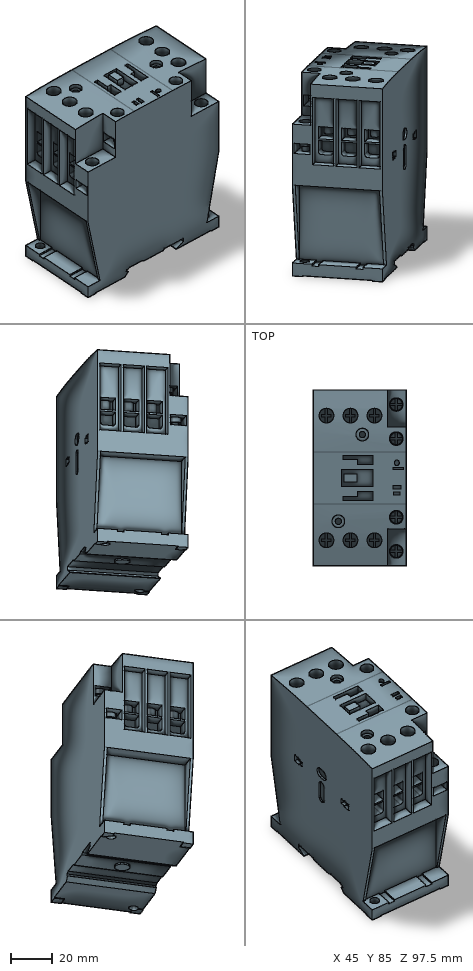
import cadquery as cq
import math


width = 45.0
depth = 85.0
height = 97.5
top_band_y = 12.5
top_crown = 1.1
taper_top_z = 45.4
taper_inset = 7.7
foot_height = 6.5
left = -width / 2
front = -depth / 2

panel_width = 42.1
panel_depth = 8.3

pad_size = 5.1
pad_height = 0.4
rail_depth = 4.7
rail_outline = [
    (-18.9, 0), (-16.4, 2.6), (-17.55, 3.2), (-17.2, 4.0), (-15.3, rail_depth),
    (19.5, rail_depth), (19.5, 2.9), (14.8, 0.7), (14.8, 0),
]
foot_groove_x = 11.0
foot_groove_width = 3.4
foot_groove_depth = 0.9
foot_hole_diameter = 4.6
foot_hole_inset = 5.0
bridge_drop = 0.8
bridge_half_width = 6.8
bridge_slope = 0.5
button_diameter = 7.5
button_z = 3.1

terminal_pitch = 11.6
terminal_middle_x = -4.5
terminal_screw_y = 30.1
terminal_xs = [terminal_middle_x + step * terminal_pitch for step in (-1, 0, 1)]
pocket_width = 10.5
pocket_bottom_z = 56.3
pocket_top_z = 89.8
pocket_depth = 5.1
wire_width = 7.5
upper_wire_z = (68.1, 74.1)
lower_wire_z = (60.3, 67.2)
lower_wire_radius = 1.6
wire_end_gap = 0.6
terminal_well_diameter = 7.1
terminal_well_floor_z = 78.0
terminal_stem_diameter = 5.4
terminal_stem_bottom_z = 69.4
slot_width = 1.2
slot_depth = 1.0
terminal_short_slot = 4.6

corner_x = 13.4
corner_y = 24.7
shelf_z = 75.9
aux_x = 17.6
aux_wire_width = 7.9
aux_well_diameter = 6.5
aux_head_diameter = 5.9
aux_head_height = 3.9
aux_stem_diameter = 3.7
aux_wire_clearance = 3.9
aux_terminals = [
    (35.5, depth / 2, 61.2, 66.3, 64.0),
    (19.0, corner_y, 80.5, 86.0, 83.6),
]

screw_recesses = [(1.3, 21.0), (-10.3, -21.0)]
recess_diameter = 6.1
recess_depth = 2.2
pilot_diameter = 3.0
pilot_depth = 5.85
window_left_x = -8.8
window_right_x = 6.4
window_length_y = 8.2
window_depth = 4.0
slider_left_x = -7.6
slider_right_x = -1.4
slider_length_y = 4.0
guide_left_x = -8.0
guide_step_x = -1.0
guide_outer_y = 10.8
guide_step_y = 8.9
guide_inner_y = 6.5
guide_depth = 4.9
label_depth = 1.95
lamp_x = 17.9
lamp_y = 7.3
lamp_width = 2.3
lamp_length = 2.7
label_slots = [
    (18.5, 4.6, 5.1, 1.2),
    (17.9, -4.5, 3.9, 1.6),
    (17.8, -7.5, 3.1, 1.6),
]

oval_depth = 1.1
key_slot_depth = 0.8
oval_z = (60.5, 65.9)
oval_width = 7.6
key_slot_z = (45.5, 57.9)
key_slot_width = 4.3
clip_depth = 1.9
clip_z = 57.7
clip_outer_y = 22.6
clip_step_y = 18.9
clip_inner_y = 16.5
clip_wide = 3.7
clip_narrow = 2.6


def block(x_range, y_range, z_range):
    """Box spanning the given (low, high) ranges."""
    sizes = [high - low for low, high in (x_range, y_range, z_range)]
    corner = (x_range[0], y_range[0], z_range[0])
    return cq.Workplane("XY").box(*sizes, centered=False).translate(corner)


def around(centre, size):
    """Range of the given size about a centre."""
    return (centre - size / 2, centre + size / 2)


def post(x, y, diameter, z_low, z_high):
    """Vertical cylinder."""
    return cq.Workplane("XY", origin=(x, y, z_low)).circle(diameter / 2).extrude(z_high - z_low)


def front_and_back(shape):
    """A front-end feature together with its mirror image at the back end."""
    return shape.union(shape.mirror("XZ"))


def make_housing():
    edge_z = height - top_crown
    body_y = depth / 2 - taper_inset
    run = depth / 2 - top_band_y
    arc_radius = (run**2 + top_crown**2) / (2 * top_crown)
    arc_mid_y = top_band_y + run / 2
    arc_mid_z = height - arc_radius + math.sqrt(arc_radius**2 - (run / 2) ** 2)
    outline = (
        cq.Workplane("YZ", origin=(left, 0, 0))
        .moveTo(front, 0)
        .lineTo(-front, 0)
        .lineTo(-front, foot_height)
        .lineTo(body_y, foot_height)
        .lineTo(-front, taper_top_z)
        .lineTo(-front, edge_z)
        .threePointArc((arc_mid_y, arc_mid_z), (top_band_y, height))
        .lineTo(-top_band_y, height)
        .threePointArc((-arc_mid_y, arc_mid_z), (front, edge_z))
        .lineTo(front, taper_top_z)
        .lineTo(-body_y, foot_height)
        .lineTo(front, foot_height)
        .close()
    )
    housing = outline.extrude(width)
    panel = block(
        around(0, panel_width), (front, front + panel_depth), (foot_height, taper_top_z)
    )
    corner = block((corner_x, width / 2), (front, -corner_y), (shelf_z, height))
    return housing.cut(front_and_back(panel.union(corner)))


def make_rail_channel():
    """Rail channel, leaving a low bridge and a round button standing on its roof."""
    channel = (
        cq.Workplane("YZ", origin=(left, 0, 0))
        .polyline(rail_outline)
        .close()
        .extrude(width)
    )
    bridge_z = rail_depth - bridge_drop
    bridge = (
        cq.Workplane("YZ", origin=(left, 0, 0))
        .polyline([
            (-bridge_half_width - bridge_slope, rail_depth),
            (-bridge_half_width + bridge_slope, bridge_z),
            (bridge_half_width - bridge_slope, bridge_z),
            (bridge_half_width + bridge_slope, rail_depth),
        ])
        .close()
        .extrude(width)
    )
    button = post(0, 0, button_diameter, button_z, rail_depth)
    return channel.cut(bridge).cut(button)


def make_foot_cuts():
    """Relief between the corner pads, grooves across the foot and two diagonal screw holes."""
    relief = block(around(0, width), around(0, depth - 2 * pad_size), (0, pad_height))
    relief = relief.union(
        block(around(0, width - 2 * pad_size), around(0, depth), (0, pad_height))
    )
    grooves = cq.Workplane("XY")
    for x in (-foot_groove_x, foot_groove_x):
        grooves = grooves.union(block(
            around(x, foot_groove_width),
            (front, front + panel_depth),
            (foot_height - foot_groove_depth, foot_height),
        ))
    cuts = relief.union(front_and_back(grooves))
    for side in (-1, 1):
        x = side * (width / 2 - foot_hole_inset)
        y = side * (depth / 2 - foot_hole_inset)
        cuts = cuts.union(post(x, y, foot_hole_diameter, 0, foot_height))
    return cuts


def make_main_terminal(x):
    """Cavity of one front main terminal; its wire chambers end against the screw stem."""
    wire_x = around(x, wire_width)
    wire_y = (front, -terminal_screw_y - wire_end_gap)
    pocket = block(
        around(x, pocket_width), (front, front + pocket_depth), (pocket_bottom_z, pocket_top_z)
    )
    upper_wire = block(wire_x, wire_y, upper_wire_z)
    lower_wire = block(wire_x, wire_y, lower_wire_z)
    lower_wire = lower_wire.edges("|Y and <Z").fillet(lower_wire_radius)
    stem = post(
        x, -terminal_screw_y, terminal_stem_diameter, terminal_stem_bottom_z, terminal_well_floor_z
    )
    well = post(x, -terminal_screw_y, terminal_well_diameter, terminal_well_floor_z, height)
    slot_z = (terminal_well_floor_z - slot_depth, terminal_well_floor_z)
    short_slot = block(
        around(x, terminal_short_slot), around(-terminal_screw_y, slot_width), slot_z
    )
    long_slot = block(
        around(x, slot_width), around(-terminal_screw_y, terminal_well_diameter), slot_z
    )
    long_slot = long_slot.intersect(
        post(x, -terminal_screw_y, terminal_well_diameter, *slot_z)
    )
    chambers = pocket.union(upper_wire).union(lower_wire).cut(stem)
    return chambers.union(well).union(short_slot).union(long_slot)


def make_aux_terminal(screw_y, face_y, floor_z, roof_z, head_z):
    """Cavity of one front auxiliary terminal, leaving its cross-slotted screw standing."""
    chamber = block(
        around(aux_x, aux_wire_width), (-face_y, -screw_y + aux_wire_clearance), (floor_z, roof_z)
    )
    well = post(aux_x, -screw_y, aux_well_diameter, floor_z, height)
    head_top_z = head_z + aux_head_height
    head = post(aux_x, -screw_y, aux_head_diameter, head_z, head_top_z)
    for size_x, size_y in ((aux_head_diameter, slot_width), (slot_width, aux_head_diameter)):
        head = head.cut(block(
            around(aux_x, size_x), around(-screw_y, size_y), (head_top_z - slot_depth, head_top_z)
        ))
    stem = post(aux_x, -screw_y, aux_stem_diameter, floor_z, head_z)
    return chamber.union(well).cut(head).cut(stem)


def make_guide_slot(side):
    """Stepped slot beside the slider window; side is the sign of its Y position."""
    points = [
        (guide_left_x, guide_outer_y), (window_right_x, guide_outer_y),
        (window_right_x, guide_inner_y), (guide_step_x, guide_inner_y),
        (guide_step_x, guide_step_y), (guide_left_x, guide_step_y),
    ]
    outline = cq.Workplane("XY", origin=(0, 0, height - guide_depth))
    outline = outline.polyline([(x, side * y) for x, y in points]).close()
    return outline.extrude(guide_depth)


def make_top_cuts():
    window_z = (height - window_depth, height)
    window = block((window_left_x, window_right_x), around(0, window_length_y), window_z)
    slider = block((slider_left_x, slider_right_x), around(0, slider_length_y), window_z)
    cuts = window.cut(slider)
    for side in (-1, 1):
        cuts = cuts.union(make_guide_slot(side))
    label_z = (height - label_depth, height)
    for x, y, size_x, size_y in label_slots:
        cuts = cuts.union(block(around(x, size_x), around(y, size_y), label_z))
    lamp = cq.Workplane("XY", origin=(lamp_x, lamp_y, label_z[0]))
    cuts = cuts.union(lamp.ellipse(lamp_width / 2, lamp_length / 2).extrude(label_depth))
    for x, y in screw_recesses:
        cuts = cuts.union(post(x, y, recess_diameter, height - recess_depth, height))
        cuts = cuts.union(post(x, y, pilot_diameter, height - pilot_depth, height))
    return cuts


def make_side_cuts():
    """Shallow rounded dimples and two stepped clip pockets in the left face."""
    cuts = cq.Workplane("XY")
    dimples = (
        (oval_depth, oval_width, oval_z),
        (key_slot_depth, key_slot_width, key_slot_z),
    )
    for dimple_depth, size_y, z_range in dimples:
        size_z = z_range[1] - z_range[0]
        face = cq.Workplane("YZ", origin=(left, 0, sum(z_range) / 2))
        angle = 90 if size_z > size_y else 0
        face = face.slot2D(max(size_y, size_z), min(size_y, size_z), angle)
        cuts = cuts.union(face.extrude(dimple_depth))
    clip_x = (left, left + clip_depth)
    wide = block(clip_x, (-clip_outer_y, -clip_step_y), around(clip_z, clip_wide))
    narrow = block(clip_x, (-clip_step_y, -clip_inner_y), around(clip_z, clip_narrow))
    return cuts.union(front_and_back(wide.union(narrow)))


result = make_housing().cut(make_rail_channel()).cut(make_foot_cuts())
for terminal_x in terminal_xs:
    result = result.cut(front_and_back(make_main_terminal(terminal_x)))
for aux_terminal in aux_terminals:
    result = result.cut(front_and_back(make_aux_terminal(*aux_terminal)))
result = result.cut(make_top_cuts()).cut(make_side_cuts())